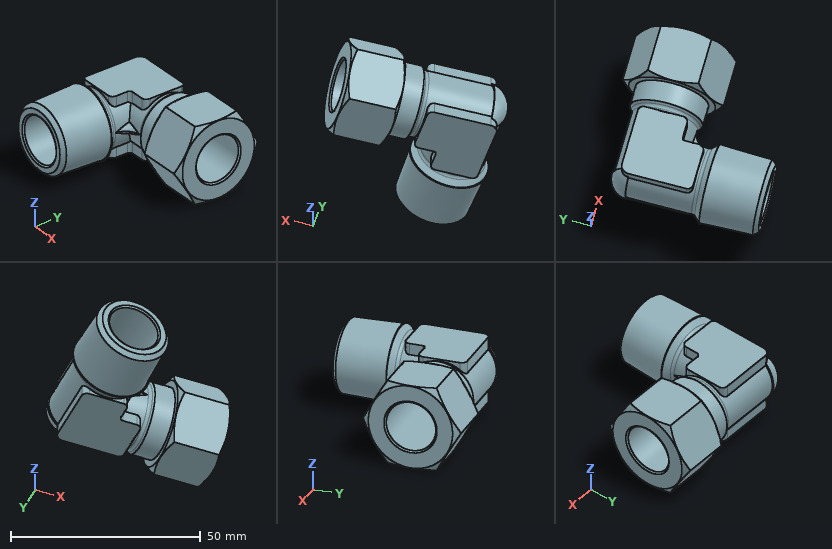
import cadquery as cq
import math


pipe_radius = 9.0
bore_radius = 7.0
mouth_chamfer = 0.45
drill_tip_half_angle = 60
neck_fillet_radius = 1.4
neck_fillet_angle = 45

nut_neck_start = 13.7
collar_radius = 10.0
nut_start = 21.05
nut_end = 36.1
nut_across_flats = 24.0
nut_face_radius = 11.9
nut_chamfer_angle = 30

male_neck_start = 13.6
rim_radius = 11.1
thread_start_radius = 10.8
thread_taper = 1 / 32
male_end = 31.97
male_end_chamfer = 1.23

pad_half_height = 9.5
pad_left = 6.4
pad_side = 6.75
pad_notch = 6.5
pad_reach = 12.95
pad_corner_radius = 1.5
pad_heel_radius = 2.25
pad_notch_radius = 0.95

heel_section_radius = 9.5
heel_bend_offset = 4.45

web_bend_radius = 4.45
web_depth = 4.7
web_half_thickness = 2.08

neck_angle = math.radians(neck_fillet_angle)
neck_length = neck_fillet_radius * math.sin(neck_angle)
neck_rise = neck_fillet_radius * (1 - math.cos(neck_angle))


def neck_profile(leg_start, neck_start, top_radius):
    """Half section from the axis along a pipe, through its neck fillet and up the cone."""
    half_angle = neck_angle / 2
    fillet_middle = (
        neck_start + neck_fillet_radius * math.sin(half_angle),
        pipe_radius + neck_fillet_radius * (1 - math.cos(half_angle)),
    )
    cone_base_radius = pipe_radius + neck_rise
    cone_length = (top_radius - cone_base_radius) / math.tan(neck_angle)
    cone_end = neck_start + neck_length + cone_length
    profile = (
        cq.Workplane("XY")
        .moveTo(leg_start, 0)
        .lineTo(leg_start, pipe_radius)
        .lineTo(neck_start, pipe_radius)
        .threePointArc(fillet_middle, (neck_start + neck_length, cone_base_radius))
        .lineTo(cone_end, top_radius)
    )
    return profile, cone_end


def turn_about_x(profile):
    return profile.close().revolve(360, (0, 0, 0), (1, 0, 0))


def nut_leg():
    profile, _ = neck_profile(-heel_bend_offset, nut_neck_start, collar_radius)
    return turn_about_x(profile.lineTo(nut_start, collar_radius).lineTo(nut_start, 0))


def nut():
    corner_radius = nut_across_flats / math.sqrt(3)
    chamfer_length = (corner_radius - nut_face_radius) * math.tan(math.radians(nut_chamfer_angle))
    hexagon = (
        cq.Workplane("YZ")
        .workplane(offset=nut_start)
        .polygon(6, 2 * corner_radius)
        .extrude(nut_end - nut_start)
    )
    chamfer_envelope = turn_about_x(
        cq.Workplane("XY")
        .moveTo(nut_start, 0)
        .lineTo(nut_start, nut_face_radius)
        .lineTo(nut_start + chamfer_length, corner_radius)
        .lineTo(nut_end - chamfer_length, corner_radius)
        .lineTo(nut_end, nut_face_radius)
        .lineTo(nut_end, 0)
    )
    return hexagon.intersect(chamfer_envelope)


def male_leg():
    """Drawn along +X, then turned to point along -Y."""
    profile, rim = neck_profile(-heel_bend_offset, male_neck_start, rim_radius)
    chamfer_start = male_end - male_end_chamfer

    def thread_point(distance):
        return distance, thread_start_radius - thread_taper * (distance - rim)

    chamfer_top_radius = thread_point(chamfer_start)[1]
    leg = turn_about_x(
        profile
        .lineTo(*thread_point(rim))
        .lineTo(*thread_point(chamfer_start))
        .lineTo(male_end, chamfer_top_radius - male_end_chamfer)
        .lineTo(male_end, 0)
    )
    return leg.rotate((0, 0, 0), (0, 0, 1), -90)


def bend_heel():
    """Quarter turn of the circle segment lying outside the heel's bend axis."""
    segment_half_height = math.sqrt(heel_section_radius**2 - heel_bend_offset**2)
    segment = (
        cq.Workplane("XZ", origin=(0, heel_bend_offset, 0))
        .moveTo(-heel_bend_offset, -segment_half_height)
        .threePointArc((-heel_section_radius, 0), (-heel_bend_offset, segment_half_height))
        .close()
    )
    return segment.revolve(90, (-heel_bend_offset, 0.45, 0), (-heel_bend_offset, 0, 0))


def bend_web():
    """Quarter turn of an oval section, tangent to both pipes on the inside of the bend."""
    bend_center = pipe_radius + web_bend_radius
    section_center = pipe_radius - web_depth
    section = (
        cq.Workplane("XZ", origin=(0, -bend_center, 0))
        .center(section_center, 0)
        .ellipse(web_depth, web_half_thickness)
    )
    axis_x = bend_center - section_center
    return section.revolve(90, (axis_x, 0.45, 0), (axis_x, 0, 0))


def side_pads():
    """L-shaped block whose top and bottom stand proud of the pipes as flat pads."""
    block = (
        cq.Workplane("XY")
        .workplane(offset=-pad_half_height)
        .moveTo(-pad_left, pad_side)
        .lineTo(pad_reach, pad_side)
        .lineTo(pad_reach, -pad_side)
        .lineTo(pad_notch, -pad_side)
        .lineTo(pad_notch, -pad_reach)
        .lineTo(-pad_left, -pad_reach)
        .close()
        .extrude(2 * pad_half_height)
    )

    def corner(x, y):
        return cq.selectors.NearestToPointSelector((x, y, 0))

    block = block.edges("|Z").edges(corner(-pad_left, pad_side)).fillet(pad_heel_radius)
    block = block.edges("|Z").edges(corner(pad_notch, -pad_side)).fillet(pad_notch_radius)
    outer_corners = [
        (pad_reach, pad_side),
        (pad_reach, -pad_side),
        (pad_notch, -pad_reach),
        (-pad_left, -pad_reach),
    ]
    for x, y in outer_corners:
        block = block.edges("|Z").edges(corner(x, y)).fillet(pad_corner_radius)
    return block


def bore_cutter(end):
    """Drilled hole along +X with its conical tip beyond the crossing of the axes."""
    tip_length = bore_radius / math.tan(math.radians(drill_tip_half_angle))
    return turn_about_x(
        cq.Workplane("XY")
        .moveTo(-tip_length, 0)
        .lineTo(0, bore_radius)
        .lineTo(end - mouth_chamfer, bore_radius)
        .lineTo(end, bore_radius + mouth_chamfer)
        .lineTo(end, 0)
    )


nut_bore = bore_cutter(nut_end)
male_bore = bore_cutter(male_end).rotate((0, 0, 0), (0, 0, 1), -90)

result = (
    nut_leg()
    .union(male_leg())
    .union(nut())
    .union(bend_heel())
    .union(bend_web(), clean=False)
    .union(side_pads(), clean=False)
    .cut(nut_bore, clean=False)
    .cut(male_bore, clean=False)
)